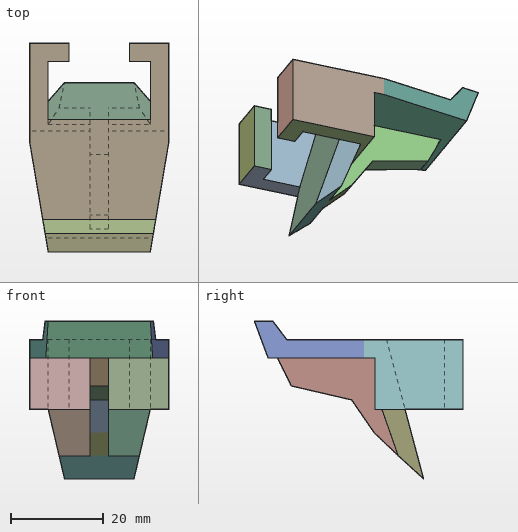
import cadquery as cq

length = 45.0
width = 30.0
height = 34.0

wall = 4.0
plate_top = height - wall
plate_bottom = plate_top - wall
body_bottom = 15.0
body_front = 26.0
taper_start = 23.65
front_width = width - 2 * wall

lip_back = 4.0
lip_foot = 7.0
front_face_setback = 2.95

slot_width = width - 2 * wall
mouth_width = 13.0
slot_front_top = 28.5

tip_y = 36.5
tip_width = 15.0
tongue_front = 27.5
bevel_y = 31.0
bevel_z = 5.0

wall_slope = (tip_y - slot_front_top) / plate_top
slot_front_bottom = tip_y - wall_slope * body_bottom

rib_width = 4.0
rib_lower = (25.8, 10.0)
rib_bend = (20.95, 17.0)
rib_nose = (7.95, 20.02)
rib_front = 5.0


def side_extrusion(points, thickness):
    """Extrude a (Y, Z) outline along X, centred on X = 0."""
    return cq.Workplane("YZ").polyline(points).close().extrude(thickness / 2, both=True)


def make_body():
    profile = side_extrusion(
        [
            (length, body_bottom),
            (length, plate_top),
            (lip_foot, plate_top),
            (lip_back, height),
            (0, height),
            (front_face_setback, plate_bottom),
            (body_front, plate_bottom),
            (body_front, body_bottom),
        ],
        width,
    )
    plan = (
        cq.Workplane("XY")
        .polyline(
            [
                (-front_width / 2, 0),
                (front_width / 2, 0),
                (width / 2, taper_start),
                (width / 2, length),
                (-width / 2, length),
                (-width / 2, taper_start),
            ]
        )
        .close()
        .extrude(height)
    )
    return profile.intersect(plan)


def make_slot():
    slot_back = length - wall
    slot = side_extrusion(
        [
            (slot_front_top, plate_top),
            (slot_back, plate_top),
            (slot_back, body_bottom),
            (slot_front_bottom, body_bottom),
        ],
        slot_width,
    )
    mouth = cq.Workplane("XY").box(mouth_width, wall, height, centered=(True, False, False))
    return slot.union(mouth.translate((0, slot_back, 0)))


def make_tongue():
    profile = side_extrusion(
        [(tongue_front, body_bottom), (slot_front_bottom, body_bottom), (tip_y, 0), (bevel_y, bevel_z)],
        slot_width,
    )
    taper = (
        cq.Workplane("XZ")
        .polyline(
            [
                (-tip_width / 2, 0),
                (tip_width / 2, 0),
                (slot_width / 2, body_bottom),
                (-slot_width / 2, body_bottom),
            ]
        )
        .close()
        .extrude(-length)
    )
    return profile.intersect(taper)


def make_rib():
    return side_extrusion(
        [
            (rib_front, plate_bottom),
            rib_nose,
            rib_bend,
            rib_lower,
            (bevel_y, bevel_z),
            (tongue_front, body_bottom),
            (body_front, plate_bottom),
        ],
        rib_width,
    )


result = make_body().cut(make_slot()).union(make_tongue()).union(make_rib())